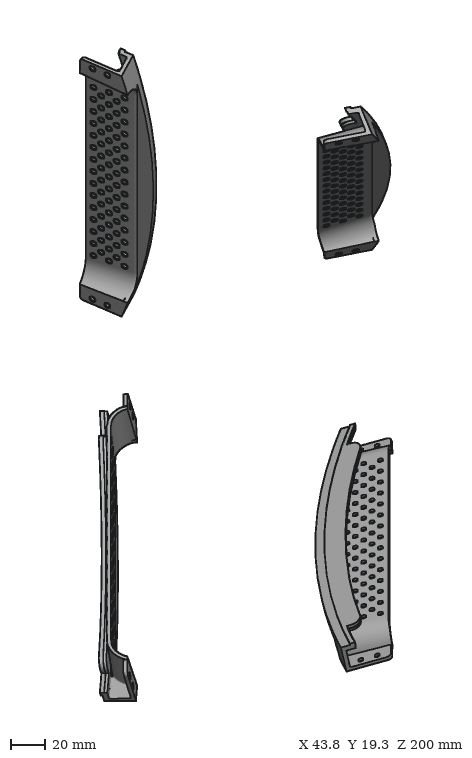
import cadquery as cq
import math

half_length = 100.0
depth = 19.3
far = 60.0
lean = 9.4
tolerance = 0.05

sheet = 2.4
panel_front_y = 9.4
panel_slope = 0.095
bend_drop = 0.06
bend_radius = 12.4
bend_start_z = 75.75
bend_left = 1.52
flange_left = 1.75
flange_corner = 2.5
sheet_right = 34.6

bow_radius = 326.0
bow_peak = 45.38
web_thickness = 2.7
inner_fillet = 0.9
shortest_corner = 5.0
strip_width = 18.6
strip_end_width = 8.9
shoulder_z = 83.0
shoulder_radius = 5.5
strip_front_y = 15.0
bow_front_y = 13.1
bow_front_left = 32.5
lip_y = 16.8
lip_set_in = 0.3
rim_y = 18.3
rim_width = 5.75

bevel_start_x = 31.2
bevel_angle = 17.5

hole_diameter = 3.0
sink_diameter = 4.2
sink_depth = 0.5
drill_depth = 3.1
hole_pitch = 10.0
pattern_z = -1.0
wide_row_x = (5.0, 15.0, 25.0)
wide_row_count = 15
narrow_row_x = (10.0, 20.0)
flange_hole_x = (10.3, 20.4)
flange_hole_inset = 4.2


def slab(x_min, x_max, y_min, y_max, z_half=half_length):
    """Box between the given X and Y limits, centred on Z = 0."""
    box = cq.Workplane("XY").box(x_max - x_min, y_max - y_min, 2 * z_half)
    return box.translate(((x_min + x_max) / 2, (y_min + y_max) / 2, 0))


def leaning(body):
    """Turn a body about Z so that its Y direction follows the lean."""
    return body.rotate((0, 0, 0), (0, 0, 1), lean)


def bow_x(z, inset):
    """Leaning X of the bowed edge at height z, moved in by inset."""
    return bow_peak - inset - bow_radius + math.sqrt(bow_radius**2 - z**2)


def bow_band(left_inset, right_inset=0.0, z_half=half_length, corner=0.0):
    """Leaning body between two copies of the bowed edge, left corners rounded if asked."""
    left = bow_x(z_half, left_inset)
    right = bow_x(z_half, right_inset)
    outline = (
        cq.Workplane("XZ", origin=(0, far, 0))
        .moveTo(left, -z_half)
        .lineTo(right, -z_half)
        .threePointArc((bow_x(0, right_inset), 0), (right, z_half))
        .lineTo(left, z_half)
        .threePointArc((bow_x(0, left_inset), 0), (left, -z_half))
        .close()
    )
    band = outline.extrude(2 * far)
    if corner:
        band = band.edges("|Y and <X").fillet(corner)
    return leaning(band)


def front_space(growth):
    """Space in front of the panel and its bends, grown rearward by growth."""
    axis = (1, panel_slope, -bend_drop)
    rearward = (-panel_slope, 1, 0)
    plane = cq.Plane(origin=(0, panel_front_y, bend_start_z), xDir=rearward, normal=axis)
    radius = bend_radius + growth
    diagonal = radius * math.sqrt(0.5)
    half = (
        cq.Workplane(plane)
        .moveTo(-far, -bend_start_z - far)
        .lineTo(growth, -bend_start_z - far)
        .lineTo(growth, 0)
        .threePointArc((diagonal - bend_radius, diagonal), (-bend_radius, radius))
        .lineTo(-far, radius)
        .close()
        .extrude(far, both=True)
    )
    above = cq.Workplane("XY").box(4 * far, 4 * far, 2 * far, centered=(True, True, False))
    upper = half.intersect(above)
    return upper.union(upper.mirror("XY"))


def front_sheet():
    """End flanges and the set-back panel with its bends, before the front is hollowed."""
    flanges = slab(flange_left, far, 0, sheet).edges("|Y and <X").fillet(flange_corner)
    bends = front_space(sheet).intersect(slab(0, far, 0, rim_y))
    bends = bends.intersect(leaning(slab(bend_left, far, -far, far)))
    return flanges.union(bends)


def web():
    """Wall of constant thickness along the bowed edge, from the flange face to the rim."""
    return bow_band(web_thickness).intersect(slab(0, far, 0, rim_y))


def strip_layer(y_min, y_max, set_in):
    """Rear strip between two depths: narrow ends, rounded shoulders, left edge moved in by set_in."""
    narrow = bow_band(strip_end_width - set_in)
    wide = bow_band(strip_width - set_in, 0, shoulder_z - set_in, shoulder_radius)
    return narrow.union(wide).intersect(slab(0, far, y_min, y_max))


def rear_strip():
    """Two-layer strip behind the web, deeper right of the web, with a lowered outer rim."""
    strip = strip_layer(lip_y, depth, 0).union(strip_layer(strip_front_y, lip_y, lip_set_in))
    behind_panel = bow_band(strip_width).intersect(leaning(slab(bow_front_left, far, -far, far)))
    outer = bow_band(web_thickness).union(behind_panel)
    strip = strip.union(outer.intersect(slab(0, far, bow_front_y, lip_y)))
    return strip.cut(bow_band(rim_width).intersect(slab(0, far, rim_y, far)))


def right_edge_bevel():
    """The front space turned about the bevel's start line, so it bites only right of that line."""
    start_y = panel_front_y + panel_slope * bevel_start_x
    turned = front_space(0).rotate((bevel_start_x, start_y, 0), (bevel_start_x, start_y, 1), bevel_angle)
    return turned.intersect(slab(bevel_start_x, far, 0, bow_front_y))


def hole(x, face_y, z, turn=0.0):
    """Cutter for a countersunk hole, square to a face turned about Z by turn degrees."""
    drill = cq.Workplane("XZ", origin=(x, face_y, z)).circle(hole_diameter / 2).extrude(-drill_depth)
    sink = (
        cq.Workplane("XZ", origin=(x, face_y + sink_depth, z))
        .circle(hole_diameter / 2)
        .workplane(offset=sink_depth)
        .circle(sink_diameter / 2)
        .loft()
    )
    return drill.union(sink).rotate((x, face_y, 0), (x, face_y, 1), turn)


def rows_of_holes(row_x, count):
    """Panel hole cutters: count rows along Z, one hole at each X of row_x."""
    turn = math.degrees(math.atan(panel_slope))
    cutters = []
    for row in range(count):
        z = pattern_z + (row - (count - 1) / 2) * hole_pitch
        cutters += [hole(x, panel_front_y + panel_slope * x, z, turn) for x in row_x]
    return cutters


def flange_holes():
    """Countersunk hole cutters for both end flanges."""
    hole_z = half_length - flange_hole_inset
    return [hole(x, 0, z) for z in (-hole_z, hole_z) for x in flange_hole_x]


def web_corner_edges(blank):
    """Inner edges where the web's left face meets the strip, the flanges and the bends."""
    found = []
    for face in blank.faces("%CYLINDER").vals():
        box = face.BoundingBox()
        is_web_left = abs(box.ymin - sheet) < tolerance and abs(box.ymax - strip_front_y) < tolerance
        if not is_web_left:
            continue
        for edge in face.Edges():
            at_end = abs(abs(edge.Center().z) - half_length) < tolerance
            if edge.Length() > shortest_corner and not at_end:
                found.append(edge)
    return found


def body():
    """The whole part before its holes are drilled."""
    sheet_and_web = front_sheet().union(web())
    sheet_and_web = sheet_and_web.intersect(leaning(slab(-far, sheet_right, -far, far)))
    sheet_and_web = sheet_and_web.intersect(bow_band(far)).cut(front_space(0))
    blank = sheet_and_web.union(rear_strip())
    blank = blank.newObject(web_corner_edges(blank)).fillet(inner_fillet)
    return blank.cut(right_edge_bevel())


holes = (
    rows_of_holes(wide_row_x, wide_row_count)
    + rows_of_holes(narrow_row_x, wide_row_count - 1)
    + flange_holes()
)
result = cq.Workplane(body().val().cut(*[cutter.val() for cutter in holes]))